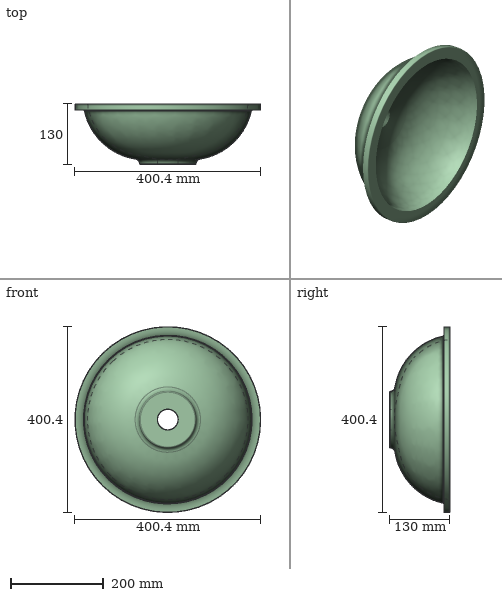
import cadquery as cq
import math

rim_radius = 200.2
rim_thickness = 13.2
rim_edge_round = 2.0

bowl_depth = 130.0
bowl_mouth_radius = 180.2
bowl_mid_radius = 121.7
bowl_mid_depth = 99.0
wall = 9.5
root_chamfer = 1.5

foot_radius = 61.3
foot_edge_round = 2.0
foot_flare_radius = 70.5
foot_flare_depth = 119.0
flare_mid_radius = 63.3
flare_mid_depth = 122.5
drain_radius = 22.0
floor_thickness = 11.0
floor_depth = bowl_depth - floor_thickness


def arc_centre(start, middle, end):
    """Centre of the circle through three points."""
    (ax, ay), (bx, by), (cx, cy) = start, middle, end
    a_sq = ax**2 + ay**2
    b_sq = bx**2 + by**2
    c_sq = cx**2 + cy**2
    det = 2 * (ax * (by - cy) + bx * (cy - ay) + cx * (ay - by))
    centre_x = (a_sq * (by - cy) + b_sq * (cy - ay) + c_sq * (ay - by)) / det
    centre_y = (a_sq * (cx - bx) + b_sq * (ax - cx) + c_sq * (bx - ax)) / det
    return centre_x, centre_y


mouth = (bowl_mouth_radius, -rim_thickness - root_chamfer)
middle = (bowl_mid_radius, -bowl_mid_depth)
flare = (foot_flare_radius, -foot_flare_depth)
centre_x, centre_y = arc_centre(mouth, middle, flare)
outer_arc_radius = math.dist(mouth, (centre_x, centre_y))
inner_arc_radius = outer_arc_radius - wall


def on_inner_arc(angle):
    """Point of the inner bowl arc at an angle below the radial direction."""
    return (
        centre_x + inner_arc_radius * math.cos(angle),
        centre_y - inner_arc_radius * math.sin(angle),
    )


def revolve(profile):
    return profile.close().revolve(360, (0, 0, 0), (0, 1, 0))


def make_body():
    """Solid bowl with its rim and foot."""
    profile = (
        cq.Workplane("XY")
        .lineTo(rim_radius, 0)
        .lineTo(rim_radius, -rim_thickness)
        .lineTo(bowl_mouth_radius + root_chamfer, -rim_thickness)
        .lineTo(*mouth)
        .threePointArc(middle, flare)
        .threePointArc((flare_mid_radius, -flare_mid_depth), (foot_radius, -bowl_depth))
        .lineTo(0, -bowl_depth)
    )
    body = revolve(profile)
    body = body.faces(">Y").edges().fillet(rim_edge_round)
    return body.faces("<Y").edges().fillet(foot_edge_round)


def make_cavity():
    """Inside of the bowl: an arc parallel to the outer one, ending on a shallow floor."""
    mouth_angle = math.asin(centre_y / inner_arc_radius)
    floor_angle = math.atan2(centre_y + foot_flare_depth, foot_flare_radius - centre_x)
    profile = (
        cq.Workplane("XY")
        .lineTo(*on_inner_arc(mouth_angle))
        .threePointArc(on_inner_arc((mouth_angle + floor_angle) / 2), on_inner_arc(floor_angle))
        .lineTo(drain_radius, -floor_depth)
        .lineTo(0, -floor_depth)
    )
    return revolve(profile)


def make_drain():
    return cq.Workplane("XZ").circle(drain_radius).extrude(bowl_depth)


result = make_body().cut(make_cavity()).cut(make_drain())